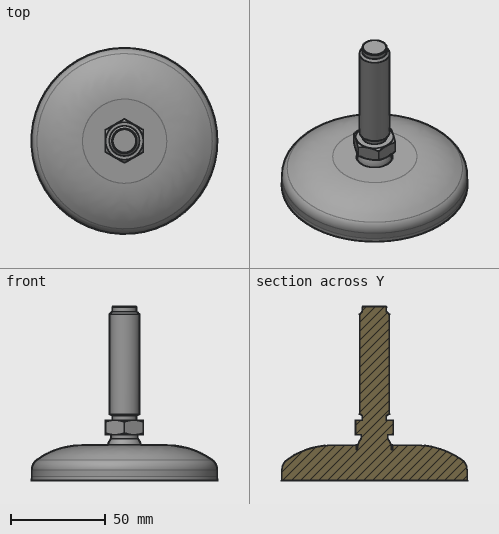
import cadquery as cq
import math

pad_radius = 49.3
pad_height = 2.3
shell_radius = 49.1
rim_top = 5.8
shoulder_radius = 46.4
shoulder_height = 11.0
flat_top_radius = 22.3
plate_height = 18.8

ball_radius = 9.2
ball_center_height = 16.5
socket_radius = 9.6

neck_radius = 14.3 / 2
relief_radius = 6.5
thread_radius = 8.0
thread_chamfer_bottom = 34.3
thread_bottom = 35.2
thread_end_height = 89.35
thread_end_chamfer = 1.4
thread_top = thread_end_height - thread_end_chamfer
overall_height = 92.2
tip_chamfer = 0.4

hex_sides = 6
hex_across_flats = 20.1
hex_bottom = 24.2
hex_top = 32.1
hex_face_diameter = 19.8
hex_chamfer_angle = math.radians(30)


def arc_tangent_at_start(start, start_direction, end):
    """Midpoint of the arc that leaves start along a unit direction and reaches end."""
    dx = end[0] - start[0]
    dz = end[1] - start[1]
    chord = math.hypot(dx, dz)
    along = math.atan2(dz, dx)
    turn = math.remainder(along - math.atan2(start_direction[1], start_direction[0]), 2 * math.pi)
    sagitta = chord / 2 * math.tan(turn / 2)
    return (
        start[0] + dx / 2 + sagitta * math.sin(along),
        start[1] + dz / 2 - sagitta * math.cos(along),
    )


def foot_plate():
    rim = (shell_radius, rim_top)
    shoulder = (shoulder_radius, shoulder_height)
    flat_edge = (flat_top_radius, plate_height)
    rim_middle = arc_tangent_at_start(rim, (0, 1), shoulder)
    dome_middle = arc_tangent_at_start(flat_edge, (1, 0), shoulder)
    plate = (
        cq.Workplane("XZ")
        .lineTo(pad_radius, 0)
        .lineTo(shell_radius, pad_height)
        .lineTo(*rim)
        .threePointArc(rim_middle, shoulder)
        .threePointArc(dome_middle, flat_edge)
        .lineTo(0, plate_height)
        .close()
        .revolve(360, (0, 0, 0), (0, 1, 0))
    )
    socket = (
        cq.Workplane("XY", origin=(0, 0, ball_center_height))
        .circle(socket_radius)
        .extrude(plate_height - ball_center_height)
    )
    return plate.cut(socket)


def ball():
    return cq.Workplane("XY", origin=(0, 0, ball_center_height)).sphere(ball_radius)


def spindle():
    return (
        cq.Workplane("XZ")
        .moveTo(0, ball_center_height)
        .lineTo(neck_radius, ball_center_height)
        .lineTo(neck_radius, hex_bottom)
        .lineTo(relief_radius, hex_bottom)
        .lineTo(relief_radius, thread_chamfer_bottom)
        .lineTo(thread_radius, thread_bottom)
        .lineTo(thread_radius, thread_top)
        .lineTo(thread_radius - thread_end_chamfer, thread_end_height)
        .lineTo(relief_radius, thread_end_height)
        .lineTo(relief_radius, overall_height - tip_chamfer)
        .lineTo(relief_radius - tip_chamfer, overall_height)
        .lineTo(0, overall_height)
        .close()
        .revolve(360, (0, 0, 0), (0, 1, 0))
    )


def hexagon():
    half_side_angle = math.pi / hex_sides
    across_corners = hex_across_flats / math.cos(half_side_angle)
    bevel_width = (across_corners - hex_face_diameter) / 2
    bevel_drop = bevel_width * math.tan(hex_chamfer_angle)
    hex_height = hex_top - hex_bottom
    base = cq.Workplane("XY", origin=(0, 0, hex_bottom))
    prism = base.polygon(hex_sides, across_corners).extrude(hex_height)
    prism = prism.rotate((0, 0, 0), (0, 0, 1), math.degrees(half_side_angle))
    bevel = base.circle(across_corners / 2).extrude(hex_height).edges().chamfer(bevel_drop, bevel_width)
    return prism.intersect(bevel)


result = foot_plate().union(ball()).union(spindle()).union(hexagon())